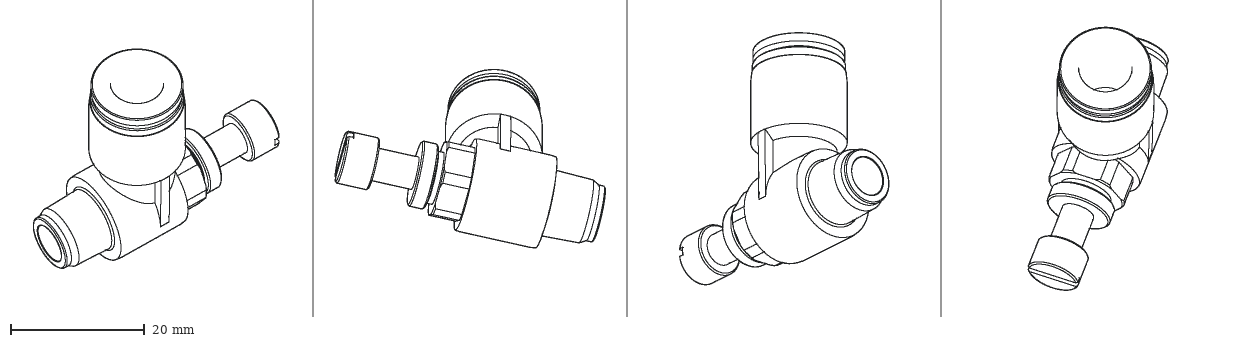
import cadquery as cq


body_d = 14.2
body_end_d = 14.0
body_front_y = -8.0
body_back_y = 4.4
body_front_taper = 0.85
body_back_taper = 0.6

nipple_tip_y = -16.2
collar_d = 10.7
collar_length = 0.3
thread_root_d = 10.1
thread_end_d = 9.7
thread_end_y = -14.2
tip_d = 8.61
tip_length = 1.0
tip_chamfer = 0.2

hex_flats = 11.15
hex_corner_d = 12.0
hex_turn = 30
hex_back_y = 8.7
hex_chamfer = 0.25

neck_d = 8.0
neck_chamfer = 0.2
ring_d = 10.0
ring_front_y = 9.75
ring_back_y = 12.2
ring_chamfer = 0.25
stem_d = 5.0
head_d = 8.0
head_front_y = 18.6
head_back_y = 23.6
head_chamfer = 0.25
slot_width = 1.25
slot_depth = 1.0

tower_d = 14.5
tower_neck_d = 11.5
tower_neck_bottom_z = 6.0
tower_cone_bottom_z = 9.55
tower_cone_top_z = 11.0
tower_taper_z = 20.9
tower_taper_d = 14.2
shoulder_z = 22.4
shoulder_d = 14.0
tower_top_z = 23.85
tower_top_chamfer = 0.2

sleeve_neck_d = 10.0
sleeve_cone_d = 10.3
sleeve_cone_length = 0.4
flange_d = 13.8
flange_bottom_z = 24.7
flange_edge_z = 26.0
flange_rim_d = 13.4
flange_rim_z = 26.13
dome_peak_z = 26.65
lip_radius = 0.25

bore_d = 6.0
bore_mouth_chamfer = 0.1
tube_bore_d = 8.0

rib_width = 1.6
rib_bottom_d = 14.25


def turned(plane, profile):
    """Solid of revolution about the plane's local Y axis, from (diameter, station) pairs."""
    stations = [station for _, station in profile]
    points = [(diameter / 2, station) for diameter, station in profile]
    outline = [(0, stations[0])] + points + [(0, stations[-1])]
    return cq.Workplane(plane).polyline(outline).close().revolve(360, (0, 0), (0, 1))


def rod(diameter, start_y, end_y):
    """Plain cylinder along the Y axis."""
    return turned("XY", [(diameter, start_y), (diameter, end_y)])


def chamfered_disc(diameter, start_y, end_y, chamfer):
    """Cylinder along the Y axis with both end edges chamfered."""
    return rod(diameter, start_y, end_y).edges("%CIRCLE").chamfer(chamfer)


def barrel():
    return turned("XY", [
        (body_end_d, body_front_y),
        (body_d, body_front_y + body_front_taper),
        (body_d, body_back_y - body_back_taper),
        (body_end_d, body_back_y),
    ])


def nipple():
    return turned("XY", [
        (tip_d - 2 * tip_chamfer, nipple_tip_y),
        (tip_d, nipple_tip_y + tip_chamfer),
        (tip_d, nipple_tip_y + tip_length),
        (thread_end_d, thread_end_y),
        (thread_root_d, body_front_y - collar_length),
        (collar_d, body_front_y),
        (collar_d, 0),
    ])


def hexagon():
    """Hexagon with one flat facing up, trimmed by a chamfered round."""
    prism = (
        cq.Workplane("XZ", origin=(0, hex_back_y, 0))
        .transformed(rotate=(0, 0, hex_turn))
        .polygon(6, hex_flats, circumscribed=True)
        .extrude(hex_back_y)
    )
    turned_round = turned("XY", [
        (hex_corner_d, 0),
        (hex_corner_d, hex_back_y - hex_chamfer),
        (hex_corner_d - 2 * hex_chamfer, hex_back_y),
    ])
    return prism.intersect(turned_round)


def needle_screw():
    neck = turned("XY", [
        (neck_d, body_back_y),
        (neck_d, ring_front_y - neck_chamfer),
        (neck_d - 2 * neck_chamfer, ring_front_y),
    ])
    ring = chamfered_disc(ring_d, ring_front_y, ring_back_y, ring_chamfer)
    stem = rod(stem_d, ring_front_y, head_back_y - slot_depth)
    head = chamfered_disc(head_d, head_front_y, head_back_y, head_chamfer)
    slot = cq.Workplane("XY").box(head_d, 2 * slot_depth, slot_width).translate((0, head_back_y, 0))
    return neck.union(ring).union(stem).union(head.cut(slot))


def tower():
    return turned("XZ", [
        (tower_neck_d, tower_neck_bottom_z),
        (tower_neck_d, tower_cone_bottom_z),
        (tower_d, tower_cone_top_z),
        (tower_d, tower_taper_z),
        (tower_taper_d, shoulder_z),
        (shoulder_d, shoulder_z),
        (shoulder_d, tower_top_z - tower_top_chamfer),
        (shoulder_d - 2 * tower_top_chamfer, tower_top_z),
        (sleeve_neck_d, tower_top_z),
        (sleeve_neck_d, flange_bottom_z - sleeve_cone_length),
        (sleeve_cone_d, flange_bottom_z),
        (flange_d, flange_bottom_z),
        (flange_d, flange_edge_z),
        (flange_rim_d, flange_rim_z),
        (tube_bore_d, dome_peak_z),
    ])


def tower_root():
    """Lower end of the tower neck, kept within the length of the barrel."""
    neck = cq.Workplane("XY").circle(tower_neck_d / 2).extrude(tower_neck_bottom_z)
    return neck.intersect(rod(2 * tower_d, body_front_y, body_back_y))


def ribs():
    outline = [
        (-rib_bottom_d / 2, 0),
        (rib_bottom_d / 2, 0),
        (tower_d / 2, tower_cone_top_z),
        (-tower_d / 2, tower_cone_top_z),
    ]
    return cq.Workplane("XZ").polyline(outline).close().extrude(rib_width / 2, both=True)


def flow_passage():
    """Nipple bore and tower bore joined by a ball at the elbow, with the wider tube seat above."""
    mouth_d = bore_d + 2 * bore_mouth_chamfer
    nipple_bore = turned("XY", [
        (mouth_d, nipple_tip_y),
        (bore_d, nipple_tip_y + bore_mouth_chamfer),
        (bore_d, 0),
    ])
    tower_bore = turned("XZ", [
        (bore_d, 0),
        (bore_d, tower_cone_top_z),
        (tube_bore_d, tower_cone_top_z),
        (tube_bore_d, dome_peak_z),
    ])
    elbow = cq.Workplane("XY").sphere(bore_d / 2)
    return nipple_bore.union(tower_bore).union(elbow)


result = barrel()
for piece in (nipple(), hexagon(), needle_screw(), tower(), tower_root(), ribs()):
    result = result.union(piece)
result = result.cut(flow_passage())
result = result.edges(">Z").fillet(lip_radius)